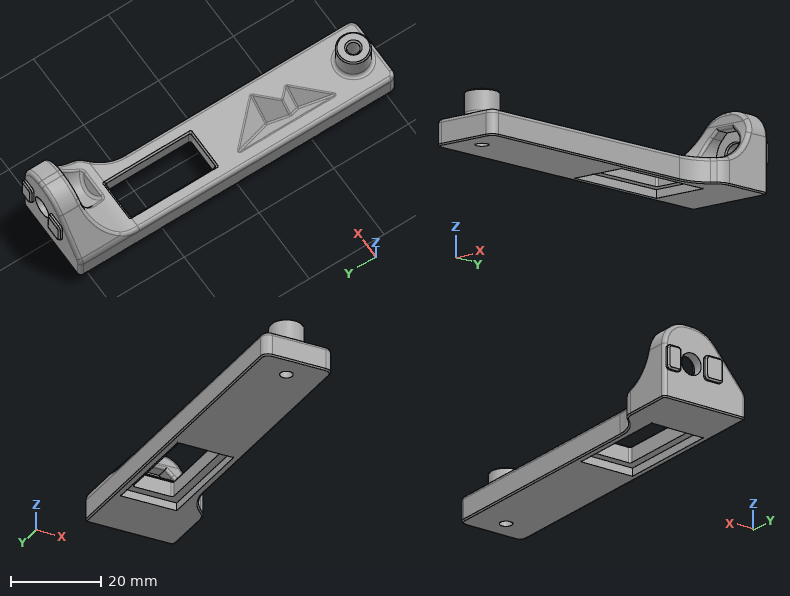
import cadquery as cq
import math

TOTAL_LENGTH = 86.0
BLOCK_WIDTH = 22.5
TOTAL_HEIGHT = 19.0

BAR_WIDTH = 17.5
BAR_HEIGHT = 6.1
CENTRE_X = BAR_WIDTH / 2
FRONT_CORNER_RADIUS = 2.0
EDGE_RADIUS = 0.95
BOTTOM_CHAMFER = 0.35

KEY_HEIGHT = 0.95
BACK_Y = TOTAL_LENGTH - KEY_HEIGHT
UPRIGHT_THICKNESS = 6.0
COVE_RADIUS = 10.0
FACE_Y = BACK_Y - UPRIGHT_THICKNESS
COVE_END_Y = FACE_Y - COVE_RADIUS
CROWN_LEFT_RADIUS = 9.0
CROWN_RIGHT_RADIUS = 6.0
SLOPE_FOOT_RADIUS = 2.8

FLARE_END_Y = 72.2
FLARE_INNER_RADIUS = 10.0
FLARE_OUTER_RADIUS = 3.95
FLARE_ANGLE = math.radians(45)

BOLT_X = 15.05
BOLT_Z = 9.6
BOLT_DIAMETER = 5.3
BOLT_CHAMFER = 0.35
POCKET_RADIUS = 5.4
POCKET_FLOOR_Y = 82.1
POCKET_MOUTH_Y = 71.55
POCKET_END_SLOPE = 0.75
POCKET_RIM_RADIUS = 0.6
POCKET_END_RADIUS = 0.95

KEY_DEPTH_Z = 5.9
KEY_CORNER_RADIUS = 0.95
KEY_CHAMFER = 0.4
KEY_SPANS = ((6.9, 11.7), (18.2, 22.0))

WINDOW_WIDTH = 10.15
WINDOW_LENGTH = 22.9
WINDOW_CENTRE_Y = 57.6
WINDOW_CORNER_RADIUS = 0.5
WINDOW_CHAMFER = 0.4
UNDERSIDE_RECESS_DEPTH = 2.0
UNDERSIDE_RECESS_MARGIN = 2.0

ARROW_LEFT_X = 3.6
ARROW_TIPS = ((14.3, 29.75), (11.9, 22.0))
ARROW_WALL_SLOPE = 1.0
ARROW_CREASE_RADIUS = 0.4
ARROW_RIM_RADIUS = 0.5

BOSS_Y = 6.0
BOSS_DIAMETER = 8.0
BOSS_TOP_Z = 12.0
BOSS_TOP_CHAMFER = 0.35
BOSS_HOLE_DIAMETER = 3.0
BOSS_HOLE_CHAMFER = 0.4


def block_from_plan():
    """Plan outline with the S-shaped flare, extruded to full height."""
    sin_a = math.sin(FLARE_ANGLE)
    cos_a = math.cos(FLARE_ANGLE)
    half_sin = math.sin(FLARE_ANGLE / 2)
    half_cos = math.cos(FLARE_ANGLE / 2)
    outer_x = BLOCK_WIDTH - FLARE_OUTER_RADIUS
    outer_start = (outer_x + FLARE_OUTER_RADIUS * cos_a, FLARE_END_Y - FLARE_OUTER_RADIUS * sin_a)
    outer_mid = (outer_x + FLARE_OUTER_RADIUS * half_cos, FLARE_END_Y - FLARE_OUTER_RADIUS * half_sin)
    inner_x = BAR_WIDTH + FLARE_INNER_RADIUS
    inner_end_x = inner_x - FLARE_INNER_RADIUS * cos_a
    inner_end_y = outer_start[1] - (outer_start[0] - inner_end_x) * math.tan(FLARE_ANGLE)
    inner_y = inner_end_y - FLARE_INNER_RADIUS * sin_a
    inner_mid = (inner_x - FLARE_INNER_RADIUS * half_cos, inner_y + FLARE_INNER_RADIUS * half_sin)
    plan = (
        cq.Workplane("XY")
        .lineTo(BAR_WIDTH, 0)
        .lineTo(BAR_WIDTH, inner_y)
        .threePointArc(inner_mid, (inner_end_x, inner_end_y))
        .lineTo(*outer_start)
        .threePointArc(outer_mid, (BLOCK_WIDTH, FLARE_END_Y))
        .lineTo(BLOCK_WIDTH, BACK_Y)
        .lineTo(0, BACK_Y)
        .close()
        .extrude(TOTAL_HEIGHT)
    )
    front_corners = plan.edges("|Z").edges(cq.selectors.BoxSelector((-0.9, -0.9, -0.9), (BLOCK_WIDTH, 0.9, TOTAL_HEIGHT)))
    return front_corners.fillet(FRONT_CORNER_RADIUS)


def side_envelope():
    """Bar, cove and upright as seen along X."""
    cove_mid = (
        COVE_END_Y + COVE_RADIUS * math.sin(math.pi / 4),
        BAR_HEIGHT + COVE_RADIUS * (1 - math.cos(math.pi / 4)),
    )
    return (
        cq.Workplane("YZ")
        .lineTo(BACK_Y, 0)
        .lineTo(BACK_Y, TOTAL_HEIGHT)
        .lineTo(FACE_Y, TOTAL_HEIGHT)
        .lineTo(FACE_Y, BAR_HEIGHT + COVE_RADIUS)
        .threePointArc(cove_mid, (COVE_END_Y, BAR_HEIGHT))
        .lineTo(0, BAR_HEIGHT)
        .close()
        .extrude(BLOCK_WIDTH)
    )


def front_envelope():
    """Rounded crown and sloping left flank as seen along Y."""
    right_x = BLOCK_WIDTH - CROWN_RIGHT_RADIUS
    right_z = TOTAL_HEIGHT - CROWN_RIGHT_RADIUS
    left_z = TOTAL_HEIGHT - CROWN_LEFT_RADIUS

    foot_to_centre = math.hypot(BOLT_X, left_z - BAR_HEIGHT)
    flank_angle = math.atan2(left_z - BAR_HEIGHT, BOLT_X) + math.asin(CROWN_LEFT_RADIUS / foot_to_centre)
    normal_angle = flank_angle + math.pi / 2
    middle_angle = (normal_angle + math.pi / 2) / 2

    def on_left_crown(angle):
        return (BOLT_X + CROWN_LEFT_RADIUS * math.cos(angle), left_z + CROWN_LEFT_RADIUS * math.sin(angle))

    profile = (
        cq.Workplane("XZ")
        .lineTo(BLOCK_WIDTH, 0)
        .lineTo(BLOCK_WIDTH, right_z)
        .radiusArc((right_x, TOTAL_HEIGHT), -CROWN_RIGHT_RADIUS)
        .lineTo(BOLT_X, TOTAL_HEIGHT)
        .threePointArc(on_left_crown(middle_angle), on_left_crown(normal_angle))
        .lineTo(0, BAR_HEIGHT)
        .close()
        .extrude(-BACK_Y)
    )
    foot = cq.selectors.NearestToPointSelector((0, BACK_Y / 2, BAR_HEIGHT))
    return profile.edges("|Y").edges(foot).fillet(SLOPE_FOOT_RADIUS)


def nearest_edge(solid, x, y, z):
    return solid.edges(cq.selectors.NearestToPointSelector((x, y, z)))


def round_edges(solid):
    """Round the front rim, the back rim and the left back corner, then bevel the base."""
    solid = nearest_edge(solid, CENTRE_X, 0, BAR_HEIGHT).fillet(EDGE_RADIUS)
    crown_middle_x = (BOLT_X + BLOCK_WIDTH - CROWN_RIGHT_RADIUS) / 2
    back_rim = nearest_edge(solid, crown_middle_x, BACK_Y, TOTAL_HEIGHT)
    left_corner = nearest_edge(solid, 0, BACK_Y, BAR_HEIGHT / 2)
    solid = back_rim.add(left_corner).fillet(EDGE_RADIUS)
    return solid.faces("<Z").chamfer(BOTTOM_CHAMFER)


def window():
    """Rectangular opening with a bevelled upper rim and a wider step on the underside."""
    bevel = WINDOW_CHAMFER
    plan = cq.Workplane("XY").center(CENTRE_X, WINDOW_CENTRE_Y)
    opening = plan.rect(WINDOW_WIDTH, WINDOW_LENGTH).extrude(BAR_HEIGHT)
    opening = opening.edges("|Z").fillet(WINDOW_CORNER_RADIUS)
    rim = (
        plan.workplane(offset=BAR_HEIGHT - bevel)
        .rect(WINDOW_WIDTH, WINDOW_LENGTH)
        .workplane(offset=bevel)
        .rect(WINDOW_WIDTH + 2 * bevel, WINDOW_LENGTH + 2 * bevel)
        .loft(ruled=True)
        .edges("not #Z")
        .fillet(WINDOW_CORNER_RADIUS)
    )
    recess = plan.rect(
        WINDOW_WIDTH + 2 * UNDERSIDE_RECESS_MARGIN, WINDOW_LENGTH + 2 * UNDERSIDE_RECESS_MARGIN
    ).extrude(UNDERSIDE_RECESS_DEPTH)
    return opening.union(rim).union(recess)


def arrow_pyramid(tip_x, tip_y):
    """Inverted pyramid on a right-angled triangle whose long side is the arrow's left edge."""
    reach = tip_x - ARROW_LEFT_X
    inradius = reach * (math.sqrt(2) - 1)
    depth = inradius * ARROW_WALL_SLOPE
    rim = [
        cq.Vector(ARROW_LEFT_X, tip_y - reach, BAR_HEIGHT),
        cq.Vector(tip_x, tip_y, BAR_HEIGHT),
        cq.Vector(ARROW_LEFT_X, tip_y + reach, BAR_HEIGHT),
    ]
    apex = cq.Vector(ARROW_LEFT_X + inradius, tip_y, BAR_HEIGHT - depth)
    faces = [cq.Face.makeFromWires(cq.Wire.makePolygon(rim, close=True))]
    for i in range(len(rim)):
        wall = [rim[i], rim[(i + 1) % len(rim)], apex]
        faces.append(cq.Face.makeFromWires(cq.Wire.makePolygon(wall, close=True)))
    return cq.Workplane(cq.Solid.makeSolid(cq.Shell.makeShell(faces)))


def arrow_recess():
    upper, lower = (arrow_pyramid(*tip) for tip in ARROW_TIPS)
    return upper.union(lower).edges("not #Z").fillet(ARROW_CREASE_RADIUS)


def boss():
    """Round pad with a flared foot and a bevelled top."""
    radius = BOSS_DIAMETER / 2
    return (
        cq.Workplane("XZ", origin=(CENTRE_X, BOSS_Y, 0))
        .lineTo(radius + EDGE_RADIUS, 0)
        .lineTo(radius + EDGE_RADIUS, BAR_HEIGHT)
        .radiusArc((radius, BAR_HEIGHT + EDGE_RADIUS), EDGE_RADIUS)
        .lineTo(radius, BOSS_TOP_Z - BOSS_TOP_CHAMFER)
        .lineTo(radius - BOSS_TOP_CHAMFER, BOSS_TOP_Z)
        .lineTo(0, BOSS_TOP_Z)
        .close()
        .revolve(360, (0, 0, 0), (0, 1, 0))
    )


def boss_hole():
    """Through hole with a countersunk mouth."""
    hole_radius = BOSS_HOLE_DIAMETER / 2
    mouth_radius = hole_radius + BOSS_HOLE_CHAMFER
    return (
        cq.Workplane("XZ", origin=(CENTRE_X, BOSS_Y, 0))
        .lineTo(hole_radius, 0)
        .lineTo(hole_radius, BOSS_TOP_Z - BOSS_HOLE_CHAMFER)
        .lineTo(mouth_radius, BOSS_TOP_Z)
        .lineTo(0, BOSS_TOP_Z)
        .close()
        .revolve(360, (0, 0, 0), (0, 1, 0))
    )


def nut_pocket():
    """Flat-topped teardrop pocket along Y, closed at the front by a sloping wall."""
    radius = POCKET_RADIUS
    shoulder = radius * math.sqrt(0.5)
    half_roof = radius * (math.sqrt(2) - 1)
    front_y = POCKET_MOUTH_Y
    teardrop = (
        cq.Workplane("XZ", origin=(BOLT_X, POCKET_FLOOR_Y, BOLT_Z))
        .moveTo(shoulder, shoulder)
        .lineTo(half_roof, radius)
        .lineTo(-half_roof, radius)
        .lineTo(-shoulder, shoulder)
        .threePointArc((0, -radius), (shoulder, shoulder))
        .close()
        .extrude(POCKET_FLOOR_Y - COVE_END_Y)
    )
    wedge_rise = front_y - COVE_END_Y
    wedge_drop = radius
    wedge = (
        cq.Workplane("YZ", origin=(BOLT_X - radius, front_y, BAR_HEIGHT))
        .moveTo(-wedge_rise, wedge_rise / POCKET_END_SLOPE)
        .lineTo(-wedge_rise, -wedge_drop)
        .lineTo(POCKET_END_SLOPE * wedge_drop, -wedge_drop)
        .close()
        .extrude(2 * radius)
    )
    return teardrop.cut(wedge).edges("%ELLIPSE").fillet(POCKET_END_RADIUS)


def bolt_hole():
    """Through hole along Y with a bevelled edge at the pocket floor."""
    hole_radius = BOLT_DIAMETER / 2
    return (
        cq.Workplane("XY", origin=(BOLT_X, POCKET_FLOOR_Y, BOLT_Z))
        .lineTo(hole_radius + BOLT_CHAMFER, 0)
        .lineTo(hole_radius, BOLT_CHAMFER)
        .lineTo(hole_radius, TOTAL_LENGTH - POCKET_FLOOR_Y)
        .lineTo(0, TOTAL_LENGTH - POCKET_FLOOR_Y)
        .close()
        .revolve(360, (0, 0, 0), (0, 1, 0))
    )


def key(x_start, x_end):
    """Raised pad on the back face with rounded corners and a bevelled outer rim."""
    return (
        cq.Workplane("XZ", origin=((x_start + x_end) / 2, BACK_Y, BOLT_Z))
        .rect(x_end - x_start, KEY_DEPTH_Z)
        .extrude(-KEY_HEIGHT)
        .edges("|Y")
        .fillet(KEY_CORNER_RADIUS)
        .faces(">Y")
        .chamfer(KEY_CHAMFER)
    )


def opening_rim(face):
    """Edges around every opening in the selected face."""
    openings = face.val().innerWires()
    return face.newObject([edge for wire in openings for edge in wire.Edges()])


body = block_from_plan().intersect(side_envelope()).intersect(front_envelope())
body = round_edges(body)

body = body.cut(nut_pocket())
cove_middle = (CENTRE_X, FACE_Y - COVE_RADIUS / 3, BAR_HEIGHT + COVE_RADIUS / 3)
cove = body.faces("%CYLINDER").faces(cq.selectors.NearestToPointSelector(cove_middle))
body = opening_rim(cove).fillet(POCKET_RIM_RADIUS)
body = body.cut(bolt_hole())

body = body.cut(arrow_recess())
bar_top = body.faces("+Z").faces("<Z")
body = opening_rim(bar_top).fillet(ARROW_RIM_RADIUS)

body = body.cut(window())
body = body.union(boss()).cut(boss_hole())
for span in KEY_SPANS:
    body = body.union(key(*span))

result = body